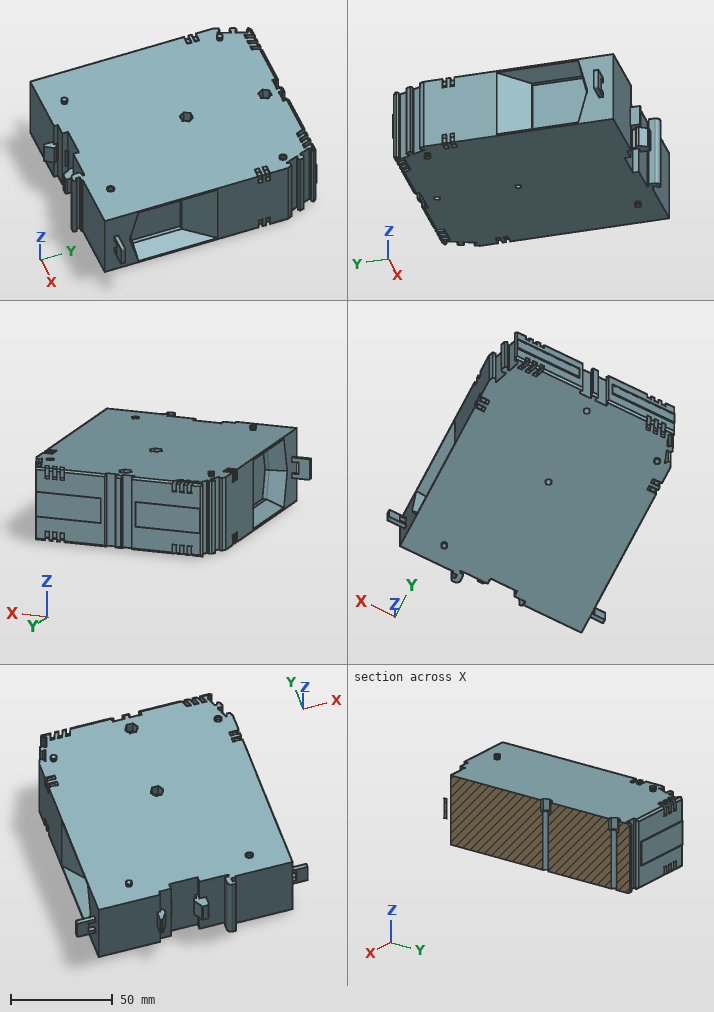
import cadquery as cq

BODY_WIDTH = 100.0
BODY_DEPTH = 37.0
FRONT_Y = 114.15
HALF_WIDTH = BODY_WIDTH / 2
HALF_DEPTH = BODY_DEPTH / 2

FRONT_CHAMFER_Y = 1.3
FRONT_CHAMFER_Z = 1.0
LABEL_PLATE_HEIGHT = 0.5
LABEL_PLATE_DEPTH = 12.6
LABEL_PLATE_X = (9.1, 43.2)

CATCH_DEPTH = 10.5
TAB_REACH = 9.5
TAB_THICKNESS = 2.1
TAB_Y = 6.05
TAB_CORNER_RADIUS = 0.7
TAB_WINDOW_REACH = 3.6
TAB_WINDOW_DEPTH = 6.0
HOOK_LEFT_RADIUS = 2.2
HOOK_RIGHT_RADIUS = 0.8

SIDE_GROOVE_DEPTH = 1.0
GROOVE_LENGTH = 5.0
SIDE_GROOVE_FLOOR = 3.6
GROOVE_WIDTH = 2.1
GROOVE_PITCH = 4.0
SIDE_GROOVE_Y = 86.3
FRONT_GROOVE_X = 39.3
FRONT_GROOVE_SLOPE = 0.38
FRONT_GROOVE_DEPTH = 5.0
FRONT_GROOVE_CHAMFER = 0.9
FRONT_GROOVE_COUNT = 3
SIDE_GROOVE_COUNT = 2

POCKET_TAPER_DEPTH = 9.0
POCKET_WELL_DEPTH = 2.0
POCKET_MOUTH = {"front": 59.6, "shoulder": 17.8, "tip": 13.2, "half": 17.55}
POCKET_FLOOR = {"front": 44.2, "shoulder": 18.4, "tip": 15.0, "half": 13.95}

NUT_HOLE_YS = (62.8, 104.3)
NUT_ACROSS_CORNERS = 6.5
NUT_TRAP_DEPTH = 6.0
SCREW_DIAMETER = 3.0

FRONT_PIN = (42.4, 97.1)
REAR_PIN = (31.0, 10.6)
PIN_HEIGHT = 2.0
PIN_NECK_HEIGHT = 0.9
PIN_NECK_DIAMETER = 2.7
PIN_HEAD_DIAMETER = 3.1
PIN_CHAMFER = 0.2
SOCKET_DIAMETER = 3.0
SOCKET_MOUTH_DIAMETER = 3.8
SOCKET_DEPTH = 2.5

FRONT_HALF = [
    (1.4, FRONT_Y),
    (1.7, 113.7),
    (1.7, 112.6),
    (1.2, 112.6),
    (1.2, 111.1),
    (7.4, 111.1),
    (7.4, 112.6),
    (6.5, 112.8),
    (7.2, FRONT_Y),
    (43.3, FRONT_Y),
    (44.0, 112.7),
    (43.0, 111.7),
    (42.0, 112.0),
    (41.5, 111.2),
    (43.4, 105.9),
    (44.3, 105.9),
    (45.1, 107.1),
    (46.4, 106.6),
    (47.2, 104.4),
    (46.0, 103.6),
    (44.7, 104.1),
    (44.3, 103.6),
    (46.6, 97.4),
    (47.6, 99.1),
    (49.0, 99.1),
    (HALF_WIDTH, 96.8),
]
SHELF_Y = 2.0
RECESS_Y = 5.0
RECESS_LEFT_X = -12.0
RECESS_RIGHT_X = 2.6
SHELF_LEFT_X = -18.1
SHELF_RIGHT_X = 17.5
RAIL_EDGE = [
    (SHELF_LEFT_X, 0),
    (SHELF_LEFT_X, SHELF_Y),
    (RECESS_LEFT_X, SHELF_Y),
    (RECESS_LEFT_X, RECESS_Y),
    (RECESS_RIGHT_X, RECESS_Y),
    (RECESS_RIGHT_X, SHELF_Y),
    (SHELF_RIGHT_X, SHELF_Y),
    (SHELF_RIGHT_X, 1.2),
]
HOOK_TOE_LEFT = (15.3, -4.6)
HOOK_TOE_RIGHT = (19.6, -4.6)
RAIL_HOOK = [
    (15.3, 0.6),
    HOOK_TOE_LEFT,
    HOOK_TOE_RIGHT,
    (19.6, -2.7),
    (18.2, -2.7),
    (18.2, -0.7),
    (20.2, -0.7),
    (20.8, 0),
]
LEFT_CATCH = [
    (-19.8, 0),
    (-19.8, -4.8),
    (-19.4, -5.0),
    (-18.4, -5.0),
    (-15.7, -0.8),
    (-15.9, 0.4),
    (-17.2, 1.0),
    (-17.2, SHELF_Y),
    (SHELF_LEFT_X, SHELF_Y),
    (SHELF_LEFT_X, 0),
]
LEFT_STOP = [
    (RECESS_LEFT_X, RECESS_Y),
    (RECESS_LEFT_X, 3.6),
    (-11.4, 3.6),
    (-10.8, 4.4),
    (-10.8, RECESS_Y),
]
MIDDLE_CATCH = [
    (1.4, RECESS_Y),
    (1.4, 3.0),
    (0.3, 3.0),
    (-0.2, 2.5),
    (-0.2, 1.2),
    (2.2, -2.8),
    (2.8, -3.2),
    (5.5, -3.2),
    (6.0, -2.6),
    (6.0, SHELF_Y),
    (RECESS_RIGHT_X, SHELF_Y),
    (RECESS_RIGHT_X, RECESS_Y),
]


def mirror_x(points):
    """XY points reflected in the X = 0 plane."""
    return [(-x, y) for x, y in points]


def centred_prism(points, depth):
    """Prism of an XY outline, centred on Z = 0."""
    return cq.Workplane("XY").polyline(points).close().extrude(depth / 2, both=True)


def centred_box(x_range, y_range, depth):
    """Box spanning the given X and Y ranges, centred on Z = 0."""
    (x0, x1), (y0, y1) = x_range, y_range
    return centred_prism([(x0, y0), (x1, y0), (x1, y1), (x0, y1)], depth)


def both_sides(shape):
    """Shape together with its reflection on the opposite X side."""
    return shape.union(shape.mirror("YZ"))


def both_faces(shape):
    """Shape together with its reflection on the opposite Z face."""
    return shape.union(shape.mirror("XY"))


def make_body():
    """Housing with its front edge, rail recess and fixed rail hook."""
    left_half = list(reversed(mirror_x(FRONT_HALF)))
    outline = FRONT_HALF + [(HALF_WIDTH, 0)]
    outline += list(reversed(RAIL_EDGE + RAIL_HOOK))
    outline += [(-HALF_WIDTH, 0)] + left_half
    body = centred_prism(outline, BODY_DEPTH)
    for (x, y), radius in ((HOOK_TOE_LEFT, HOOK_LEFT_RADIUS), (HOOK_TOE_RIGHT, HOOK_RIGHT_RADIUS)):
        body = body.edges(cq.selectors.NearestToPointSelector((x, y, 0))).fillet(radius)
    return body


def front_chamfer():
    """Wedge removed along the front edge of the +Z face."""
    return (
        cq.Workplane("YZ")
        .polyline([
            (FRONT_Y - FRONT_CHAMFER_Y, HALF_DEPTH),
            (FRONT_Y, HALF_DEPTH - FRONT_CHAMFER_Z),
            (FRONT_Y, HALF_DEPTH),
        ])
        .close()
        .extrude(HALF_WIDTH, both=True)
    )


def side_groove(y):
    """Shallow L-shaped groove with ramped ends, wrapping the edge of the +X and +Z faces."""
    floor_z = HALF_DEPTH - SIDE_GROOVE_DEPTH
    wall_x = HALF_WIDTH - SIDE_GROOVE_DEPTH
    section = [
        (HALF_WIDTH, HALF_DEPTH),
        (HALF_WIDTH - GROOVE_LENGTH, HALF_DEPTH),
        (HALF_WIDTH - SIDE_GROOVE_FLOOR, floor_z),
        (wall_x, floor_z),
        (wall_x, HALF_DEPTH - SIDE_GROOVE_FLOOR),
        (HALF_WIDTH, HALF_DEPTH - GROOVE_LENGTH),
    ]
    return (
        cq.Workplane("XZ", origin=(0, y, 0))
        .polyline(section)
        .close()
        .extrude(GROOVE_WIDTH / 2, both=True)
    )


def front_groove(x):
    """Deep notch in the front edge, leaning towards the centre as it nears the front."""
    inner_y = FRONT_Y - GROOVE_LENGTH
    floor_z = HALF_DEPTH - FRONT_GROOVE_DEPTH
    wall_y = inner_y + FRONT_GROOVE_CHAMFER
    section = (
        cq.Workplane("YZ")
        .polyline([
            (FRONT_Y, HALF_DEPTH),
            (inner_y, HALF_DEPTH),
            (wall_y, HALF_DEPTH - FRONT_GROOVE_CHAMFER),
            (wall_y, floor_z),
            (FRONT_Y, floor_z),
        ])
        .close()
        .extrude(HALF_WIDTH)
    )
    lean = FRONT_GROOVE_SLOPE * GROOVE_LENGTH
    left = x - GROOVE_WIDTH / 2
    right = x + GROOVE_WIDTH / 2
    slanted = centred_prism(
        [(left, inner_y), (right, inner_y), (right - lean, FRONT_Y), (left - lean, FRONT_Y)],
        BODY_DEPTH,
    )
    return section.intersect(slanted)


def pocket_outline(size):
    """Arrow-ended pocket outline in (Y, Z)."""
    half = size["half"]
    return [
        (size["front"], half),
        (size["shoulder"], half),
        (size["tip"], 0),
        (size["shoulder"], -half),
        (size["front"], -half),
    ]


def side_pocket():
    """Finger pocket entering the +X face: flared walls, then a straight-walled well."""
    flare = (
        cq.Workplane("YZ", origin=(HALF_WIDTH, 0, 0))
        .polyline(pocket_outline(POCKET_MOUTH))
        .close()
        .workplane(offset=-POCKET_TAPER_DEPTH)
        .polyline(pocket_outline(POCKET_FLOOR))
        .close()
        .loft(ruled=True)
    )
    well = (
        cq.Workplane("YZ", origin=(HALF_WIDTH - POCKET_TAPER_DEPTH, 0, 0))
        .polyline(pocket_outline(POCKET_FLOOR))
        .close()
        .extrude(-POCKET_WELL_DEPTH)
    )
    return flare.union(well)


def side_tab():
    """Windowed tab on the +X face."""
    y_range = (TAB_Y - TAB_THICKNESS / 2, TAB_Y + TAB_THICKNESS / 2)
    tab = centred_box((HALF_WIDTH, HALF_WIDTH + TAB_REACH), y_range, CATCH_DEPTH)
    tab = tab.faces(">X").edges("|Y").fillet(TAB_CORNER_RADIUS)
    window = centred_box((HALF_WIDTH, HALF_WIDTH + TAB_WINDOW_REACH), y_range, TAB_WINDOW_DEPTH)
    return tab.cut(window)


def label_plate():
    """Raised plate on the front of the +X terminal strip."""
    return centred_box(LABEL_PLATE_X, (FRONT_Y, FRONT_Y + LABEL_PLATE_HEIGHT), LABEL_PLATE_DEPTH)


def nut_hole(y):
    """Hexagonal nut trap in the +Z face with a screw hole through the body."""
    top = cq.Workplane("XY", origin=(0, y, HALF_DEPTH))
    trap = top.polygon(6, NUT_ACROSS_CORNERS).extrude(-NUT_TRAP_DEPTH)
    return trap.union(top.circle(SCREW_DIAMETER / 2).extrude(-BODY_DEPTH))


def stacking_pin(x, y):
    """Headed pin standing on the +Z face."""
    base = cq.Workplane("XY", origin=(x, y, HALF_DEPTH))
    neck = base.circle(PIN_NECK_DIAMETER / 2).extrude(PIN_NECK_HEIGHT)
    head = (
        base.workplane(offset=PIN_NECK_HEIGHT)
        .circle(PIN_HEAD_DIAMETER / 2)
        .extrude(PIN_HEIGHT - PIN_NECK_HEIGHT)
        .faces(">Z")
        .chamfer(PIN_CHAMFER)
    )
    return neck.union(head)


def stacking_socket(x, y):
    """Blind hole with a chamfered mouth in the +Z face."""
    mouth = (SOCKET_MOUTH_DIAMETER - SOCKET_DIAMETER) / 2
    top = cq.Workplane("XY", origin=(x, y, HALF_DEPTH))
    bore = top.circle(SOCKET_DIAMETER / 2).extrude(-SOCKET_DEPTH)
    countersink = top.circle(SOCKET_MOUTH_DIAMETER / 2).extrude(-mouth, taper=45)
    return bore.union(countersink)


result = make_body()
result = result.cut(both_faces(front_chamfer()))

for index in range(SIDE_GROOVE_COUNT):
    result = result.cut(both_sides(both_faces(side_groove(SIDE_GROOVE_Y - index * GROOVE_PITCH))))
for index in range(FRONT_GROOVE_COUNT):
    result = result.cut(both_sides(both_faces(front_groove(FRONT_GROOVE_X - index * GROOVE_PITCH))))

result = result.cut(both_sides(side_pocket()))
for hole_y in NUT_HOLE_YS:
    result = result.cut(nut_hole(hole_y))

result = result.union(both_sides(side_tab()))
result = result.union(both_sides(label_plate()))
for catch in (LEFT_CATCH, LEFT_STOP, MIDDLE_CATCH):
    result = result.union(centred_prism(catch, CATCH_DEPTH))

for pin_x, pin_y in (FRONT_PIN, REAR_PIN):
    result = result.union(stacking_pin(-pin_x, pin_y))
    result = result.cut(stacking_socket(pin_x, pin_y))
result = result.union(stacking_pin(-FRONT_PIN[0], FRONT_PIN[1]).mirror("XY"))
result = result.union(stacking_pin(*REAR_PIN).mirror("XY"))